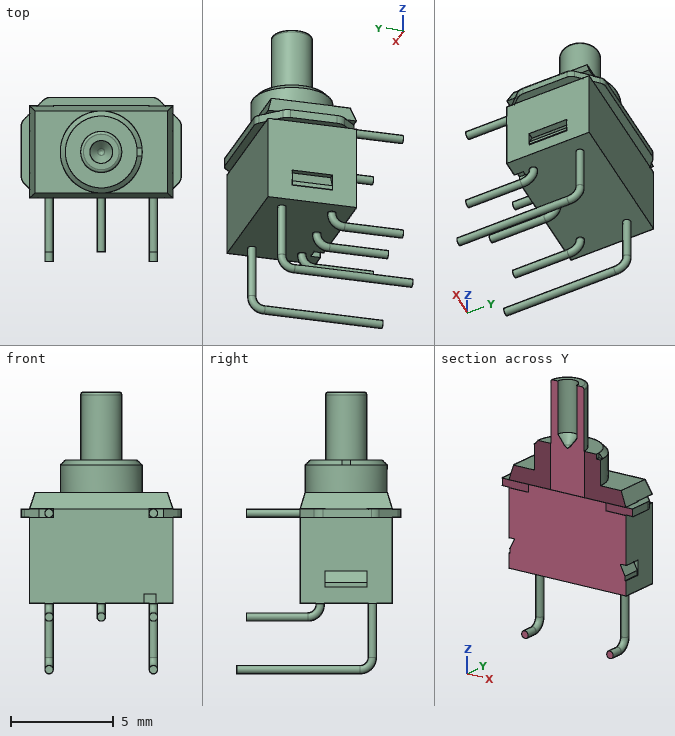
import cadquery as cq
import math


HOUSING_LENGTH = 7.0
HOUSING_WIDTH = 4.5
HOUSING_HEIGHT = 4.6
FRONT_Y = -HOUSING_WIDTH / 2

WIRE_DIAMETER = 0.41
WIRE_RADIUS = WIRE_DIAMETER / 2
WIRE_PITCH = 2.54
ROW_Y = WIRE_PITCH / 2
BEND_RADIUS = 0.6
SHORT_WIRE_Z = -0.66
LONG_WIRE_Z = -3.22
SHORT_WIRE_END_Y = -4.86
LONG_WIRE_END_Y = -5.34

NOTCH_LENGTH = 0.56
NOTCH_HEIGHT = 0.45
NOTCH_DEPTH = 0.5
NOTCH_X = 2.37

RECESS_WIDTH = 2.05
RECESS_BOTTOM_Z = 0.8
RECESS_TOP_Z = 1.58
RAMP_BOTTOM_Z = 1.03
RECESS_DEPTH = 0.05
RAMP_TOP_DEPTH = 0.33

BRACKET_LENGTH = 7.8
BRACKET_BACK_Y = 2.66
BRACKET_THICKNESS = WIRE_DIAMETER
BRACKET_BOTTOM_Z = HOUSING_HEIGHT - BRACKET_THICKNESS
BRACKET_INNER_X = WIRE_PITCH - WIRE_RADIUS
BRACKET_BACK_STRIP = BRACKET_LENGTH / 2 - BRACKET_INNER_X
BRACKET_BACK_CHAMFER = 1.22
BRACKET_FRONT_CHAMFER = 0.86
BRACKET_BACK_RADIUS = 0.5
BRACKET_FRONT_RADIUS = 0.6

COVER_HEIGHT = 0.81
COVER_END_INSET = 0.27
COVER_SIDE_INSET = 0.25
COVER_TOP_Z = HOUSING_HEIGHT + COVER_HEIGHT
CORNER_RELIEF = 0.03
BUSHING_DIAMETER = 3.99
BUSHING_HEIGHT = 1.58
BUSHING_TOP_Z = COVER_TOP_Z + BUSHING_HEIGHT
BUSHING_CHAMFER = 0.25
KEYWAY_WIDTH = 0.4
KEYWAY_DEPTH = BUSHING_CHAMFER

PLUNGER_DIAMETER = 2.0
PLUNGER_TOP_Z = 10.29
PLUNGER_ROUNDING = 0.14
BORE_DIAMETER = 1.11
BORE_DEPTH = 2.75
BORE_NECK_DIAMETER = 0.33
BORE_CONE_ANGLE = 52
BORE_TIP_ANGLE = 37


def box_between(x_range, y_range, z_range):
    """Axis-aligned box given by its limits along X, Y and Z."""
    limits = (x_range, y_range, z_range)
    sizes = [high - low for low, high in limits]
    corner = cq.Vector(*[low for low, high in limits])
    return cq.Workplane("XY").box(*sizes, centered=False).translate(corner)


def make_bent_wire(x, row_y, run_z, end_y):
    """Wire that leaves the housing underside, bends a quarter turn and runs to the front."""
    bend_mid = BEND_RADIUS * (1 - math.sqrt(0.5))
    path = (
        cq.Workplane("YZ", origin=(x, 0, 0))
        .moveTo(row_y, 0)
        .lineTo(row_y, run_z + BEND_RADIUS)
        .threePointArc((row_y - bend_mid, run_z + bend_mid), (row_y - BEND_RADIUS, run_z))
        .lineTo(end_y, run_z)
    )
    return cq.Workplane("XY", origin=(x, row_y, 0)).circle(WIRE_RADIUS).sweep(path)


def make_latch_recess():
    """Cutter for the recess in the -X end; its inner face ramps deeper towards the top."""
    end_x = -HOUSING_LENGTH / 2
    profile = [
        (end_x, RECESS_BOTTOM_Z),
        (end_x + RECESS_DEPTH, RECESS_BOTTOM_Z),
        (end_x + RECESS_DEPTH, RAMP_BOTTOM_Z),
        (end_x + RAMP_TOP_DEPTH, RECESS_TOP_Z),
        (end_x, RECESS_TOP_Z),
    ]
    return cq.Workplane("XZ").polyline(profile).close().extrude(RECESS_WIDTH / 2, both=True)


def make_bracket_plate():
    """U-shaped plate, open to the front, with chamfered and rounded outer corners."""
    side_x = BRACKET_LENGTH / 2
    outline = [
        (side_x - BRACKET_FRONT_CHAMFER, FRONT_Y),
        (side_x, FRONT_Y + BRACKET_FRONT_CHAMFER),
        (side_x, BRACKET_BACK_Y - BRACKET_BACK_CHAMFER),
        (side_x - BRACKET_BACK_CHAMFER, BRACKET_BACK_Y),
    ]
    mirrored = [(-x, y) for x, y in reversed(outline)]
    plate = (
        cq.Workplane("XY", origin=(0, 0, BRACKET_BOTTOM_Z))
        .polyline(outline + mirrored)
        .close()
        .extrude(BRACKET_THICKNESS)
    )
    plate = plate.edges("|Z and (>X or <X)").edges("<Y").fillet(BRACKET_FRONT_RADIUS)
    back_corners = [(x_sign * x, y) for x, y in outline[2:] for x_sign in (-1, 1)]
    for x, y in back_corners:
        corner_point = (x, y, BRACKET_BOTTOM_Z + BRACKET_THICKNESS / 2)
        corner_edge = plate.edges(cq.selectors.NearestToPointSelector(corner_point))
        plate = corner_edge.fillet(BRACKET_BACK_RADIUS)
    opening = box_between(
        (-BRACKET_INNER_X, BRACKET_INNER_X),
        (FRONT_Y, BRACKET_BACK_Y - BRACKET_BACK_STRIP),
        (BRACKET_BOTTOM_Z, HOUSING_HEIGHT),
    )
    return plate.cut(opening)


def make_housing():
    """Block stepped for the bracket, with its notch, latch recesses and terminal wires."""
    half_length = HOUSING_LENGTH / 2
    housing = box_between(
        (-half_length, half_length),
        (FRONT_Y, -FRONT_Y),
        (0, BRACKET_BOTTOM_Z),
    )
    land = box_between(
        (-BRACKET_INNER_X, BRACKET_INNER_X),
        (FRONT_Y, BRACKET_BACK_Y - BRACKET_BACK_STRIP),
        (BRACKET_BOTTOM_Z, HOUSING_HEIGHT),
    )
    notch = box_between(
        (NOTCH_X - NOTCH_LENGTH / 2, NOTCH_X + NOTCH_LENGTH / 2),
        (FRONT_Y, FRONT_Y + NOTCH_DEPTH),
        (0, NOTCH_HEIGHT),
    )
    recess = make_latch_recess()
    housing = housing.union(land).cut(notch).cut(recess).cut(recess.mirror("YZ"))

    for x in (-WIRE_PITCH, 0, WIRE_PITCH):
        housing = housing.union(make_bent_wire(x, -ROW_Y, SHORT_WIRE_Z, SHORT_WIRE_END_Y))
    for x in (-WIRE_PITCH, WIRE_PITCH):
        housing = housing.union(make_bent_wire(x, ROW_Y, LONG_WIRE_Z, LONG_WIRE_END_Y))
    return housing


def make_bracket():
    """Bracket plate with a straight wire leg on the front of each arm."""
    bracket = make_bracket_plate()
    leg_z = BRACKET_BOTTOM_Z + BRACKET_THICKNESS / 2
    for x in (-WIRE_PITCH, WIRE_PITCH):
        leg = (
            cq.Workplane("XZ", origin=(x, FRONT_Y, leg_z))
            .circle(WIRE_RADIUS)
            .extrude(FRONT_Y - SHORT_WIRE_END_Y)
        )
        bracket = bracket.union(leg)
    return bracket


def make_cover():
    """Cover with sloping sides and a keyed bushing, bored through for the plunger."""
    cover = (
        cq.Workplane("XY", origin=(0, 0, HOUSING_HEIGHT))
        .rect(HOUSING_LENGTH, HOUSING_WIDTH)
        .workplane(offset=COVER_HEIGHT)
        .rect(HOUSING_LENGTH - 2 * COVER_END_INSET, HOUSING_WIDTH - 2 * COVER_SIDE_INSET)
        .loft(ruled=True)
    )
    bushing_radius = BUSHING_DIAMETER / 2
    bushing = (
        cq.Workplane("XY", origin=(0, 0, COVER_TOP_Z))
        .circle(bushing_radius)
        .extrude(BUSHING_HEIGHT)
        .faces(">Z")
        .chamfer(BUSHING_CHAMFER)
    )
    keyway = box_between(
        (bushing_radius - KEYWAY_DEPTH, bushing_radius),
        (-KEYWAY_WIDTH / 2, KEYWAY_WIDTH / 2),
        (BUSHING_TOP_Z - KEYWAY_DEPTH, BUSHING_TOP_Z),
    )
    plunger_hole = (
        cq.Workplane("XY", origin=(0, 0, HOUSING_HEIGHT))
        .circle(PLUNGER_DIAMETER / 2)
        .extrude(COVER_HEIGHT + BUSHING_HEIGHT)
    )
    cover = cover.union(bushing.cut(keyway)).cut(plunger_hole)

    relief_length = HOUSING_LENGTH / 2 - BRACKET_INNER_X
    relief_width = (HOUSING_WIDTH - RECESS_WIDTH) / 2
    for x in (-HOUSING_LENGTH / 2, BRACKET_INNER_X):
        for y in (FRONT_Y, RECESS_WIDTH / 2):
            relief = box_between(
                (x, x + relief_length),
                (y, y + relief_width),
                (HOUSING_HEIGHT, HOUSING_HEIGHT + CORNER_RELIEF),
            )
            cover = cover.cut(relief)
    return cover


def make_plunger():
    """Round plunger standing on the housing, with a blind bore that ends in two cones."""
    bore_radius = BORE_DIAMETER / 2
    neck_radius = BORE_NECK_DIAMETER / 2
    outer_radius = PLUNGER_DIAMETER / 2
    cone_top_z = PLUNGER_TOP_Z - BORE_DEPTH
    neck_z = cone_top_z - (bore_radius - neck_radius) * math.tan(math.radians(BORE_CONE_ANGLE))
    tip_z = neck_z - neck_radius * math.tan(math.radians(BORE_TIP_ANGLE))
    rounding_centre_x = outer_radius - PLUNGER_ROUNDING
    rounding_centre_z = PLUNGER_TOP_Z - PLUNGER_ROUNDING
    rounding_mid = PLUNGER_ROUNDING * math.sqrt(0.5)
    half_section = (
        cq.Workplane("XZ")
        .moveTo(0, HOUSING_HEIGHT)
        .lineTo(outer_radius, HOUSING_HEIGHT)
        .lineTo(outer_radius, rounding_centre_z)
        .threePointArc(
            (rounding_centre_x + rounding_mid, rounding_centre_z + rounding_mid),
            (rounding_centre_x, PLUNGER_TOP_Z),
        )
        .lineTo(bore_radius, PLUNGER_TOP_Z)
        .lineTo(bore_radius, cone_top_z)
        .lineTo(neck_radius, neck_z)
        .lineTo(0, tip_z)
        .close()
    )
    return half_section.revolve(360, (0, 0, 0), (0, 1, 0))


housing = make_housing()
bracket = make_bracket()
cover = make_cover()
plunger = make_plunger()

result = cq.Compound.makeCompound([
    housing.val(),
    bracket.val(),
    cover.val(),
    plunger.val(),
])